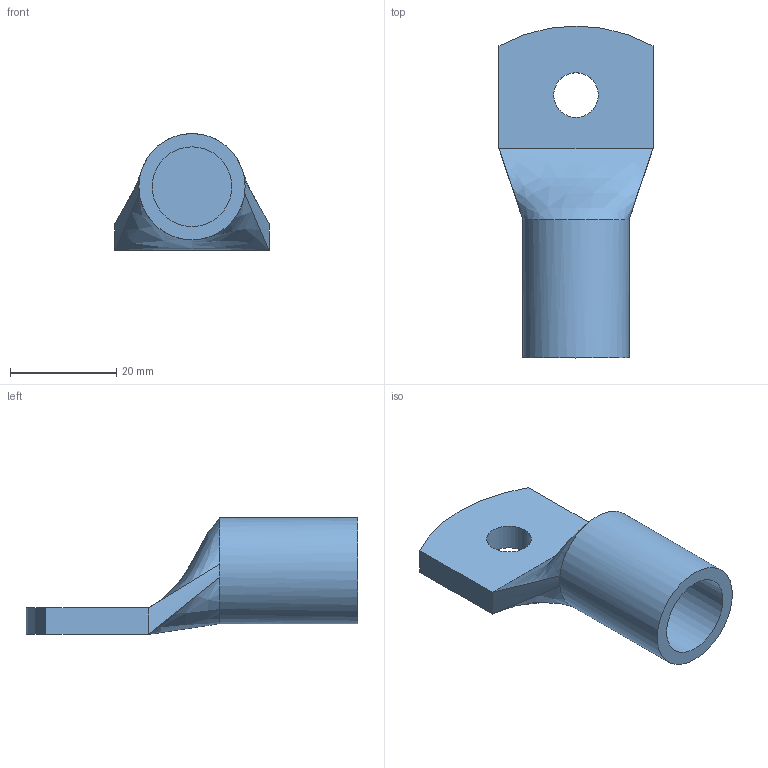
import cadquery as cq
import math

palm_width = 29.0
palm_thickness = 5.0
palm_length = 23.1
tip_radius = 30.0
bolt_hole_diameter = 8.4
bolt_hole_from_tip = 13.0

barrel_diameter = 20.0
bore_diameter = 15.0
barrel_length = 26.0
barrel_underside_height = 2.0

total_length = 62.5
side_strip_height = 2.45
crown_delay = 1.6
neck_steps = 6

half_width = palm_width / 2
barrel_radius = barrel_diameter / 2
axis_height = barrel_underside_height + barrel_radius
palm_start = total_length - palm_length
tip_drop = tip_radius - math.sqrt(tip_radius**2 - half_width**2)


def make_palm():
    """Flat plate with an arched tip and a bolt hole through it."""
    corner_y = total_length - tip_drop
    plate = (
        cq.Workplane("XY")
        .moveTo(-half_width, palm_start)
        .lineTo(half_width, palm_start)
        .lineTo(half_width, corner_y)
        .threePointArc((0, total_length), (-half_width, corner_y))
        .close()
        .extrude(palm_thickness)
    )
    hole = (
        cq.Workplane("XY")
        .center(0, total_length - bolt_hole_from_tip)
        .circle(bolt_hole_diameter / 2)
        .extrude(palm_thickness)
    )
    return plate.cut(hole)


def make_barrel():
    """Tube closed at its inner end by the neck."""
    return (
        cq.Workplane("XZ")
        .center(0, axis_height)
        .circle(barrel_radius)
        .circle(bore_diameter / 2)
        .extrude(-barrel_length)
    )


def mix(start, end, fraction):
    """Value lying the given fraction of the way from start to end."""
    return start + (end - start) * fraction


def crown_blend(fraction):
    """S-shaped rise of the neck's top, flat at both ends and steepest near the barrel."""
    eased = fraction**crown_delay
    return eased**2 * (3 - 2 * eased)


def span(start, middle, end, is_straight):
    """Edge from start to end: a line, or an arc through middle."""
    if is_straight:
        return cq.Edge.makeLine(start, end)
    return cq.Edge.makeThreePointArc(start, middle, end)


def neck_section(fraction):
    """Cross-section of the neck: the palm's rectangle at 0, the barrel's circle at 1.

    The four corners move along straight lines while the sides bulge out into arcs.
    """
    y = mix(palm_start, barrel_length, fraction)
    strip_rise = side_strip_height / 2
    strip_reach = math.sqrt(barrel_radius**2 - strip_rise**2)
    corner_x = mix(half_width, strip_reach, fraction)
    low_z = mix(0, axis_height - strip_rise, fraction)
    high_z = mix(palm_thickness, axis_height + strip_rise, fraction)

    top_z = high_z + (barrel_radius - strip_rise) * crown_blend(fraction)
    bottom_z = low_z - (barrel_radius - strip_rise) * fraction
    side_x = mix(half_width, barrel_radius, fraction)
    side_z = (low_z + high_z) / 2

    low_left = cq.Vector(-corner_x, y, low_z)
    low_right = cq.Vector(corner_x, y, low_z)
    high_right = cq.Vector(corner_x, y, high_z)
    high_left = cq.Vector(-corner_x, y, high_z)
    is_palm_end = fraction == 0
    edges = [
        span(low_left, cq.Vector(0, y, bottom_z), low_right, is_palm_end),
        span(low_right, cq.Vector(side_x, y, side_z), high_right, is_palm_end),
        span(high_right, cq.Vector(0, y, top_z), high_left, is_palm_end),
        span(high_left, cq.Vector(-side_x, y, side_z), low_left, is_palm_end),
    ]
    return cq.Wire.assembleEdges(edges)


def make_neck():
    """Solid blending the barrel's round end into the palm's rectangular end."""
    sections = [neck_section(step / neck_steps) for step in range(neck_steps + 1)]
    return cq.Workplane(cq.Solid.makeLoft(sections))


result = make_neck().union(make_palm()).union(make_barrel())